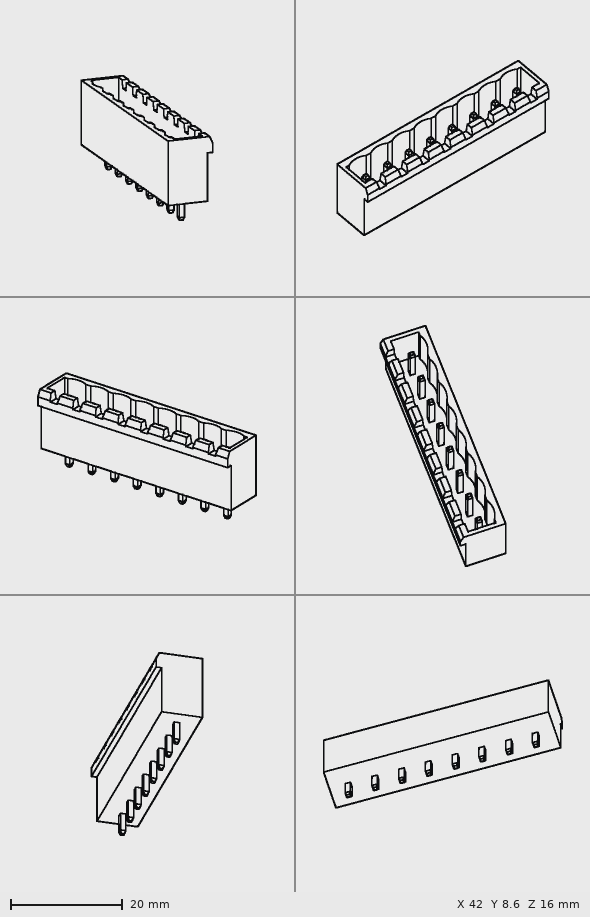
import cadquery as cq

length = 42.0
body_depth = 7.6
total_depth = 8.6
height = 12.0
total_height = 16.0

lip_height = 3.02
lip_chamfer_depth = 0.6
lip_chamfer_height = 1.25

pin_count = 8
pitch = 5.0
pin_y = 3.85
pin_width = 1.0
pin_tip_width = 0.6
pin_tip_length = 0.6
pin_bottom = height - total_height
pin_top = 10.0
pin_positions = [(i - (pin_count - 1) / 2) * pitch for i in range(pin_count)]

end_wall = 0.8
front_wall = 1.6
back_wall = 0.7
floor_thickness = 2.5
cavity_length = length - 2 * end_wall
cavity_back = body_depth - back_wall
cavity_height = height - floor_thickness

scallop_chord = 3.95
scallop_depth = 0.55

notch_top_width = 2.0
notch_floor_width = 1.45
notch_depth = 1.5


def make_housing():
    """Side profile with the latch lip, extruded along the row."""
    profile = [
        (0, 0),
        (body_depth, 0),
        (body_depth, height - lip_height),
        (total_depth, height - lip_height),
        (total_depth, height - lip_chamfer_height),
        (total_depth - lip_chamfer_depth, height),
        (0, height),
    ]
    return cq.Workplane("YZ").polyline(profile).close().extrude(length / 2, both=True)


def make_cavity():
    """Cavity whose front edge bulges forward in an arc at every contact."""
    half = cavity_length / 2
    outline = cq.Workplane("XY", origin=(0, 0, floor_thickness))
    outline = outline.moveTo(-half, cavity_back).lineTo(-half, front_wall)
    for x in pin_positions:
        outline = outline.lineTo(x - scallop_chord / 2, front_wall)
        outline = outline.threePointArc(
            (x, front_wall - scallop_depth),
            (x + scallop_chord / 2, front_wall),
        )
    outline = outline.lineTo(half, front_wall).lineTo(half, cavity_back).close()
    return outline.extrude(cavity_height)


def make_notch(x):
    """Notch that narrows toward its floor, running from the cavity out through the lip."""
    profile = [
        (x - notch_top_width / 2, height),
        (x - notch_floor_width / 2, height - notch_depth),
        (x + notch_floor_width / 2, height - notch_depth),
        (x + notch_top_width / 2, height),
    ]
    plane = cq.Workplane("XZ", origin=(0, total_depth, 0))
    return plane.polyline(profile).close().extrude(total_depth - cavity_back)


def make_pin_tip(x, z_base, z_end):
    """Square frustum from the full pin section to the blunt end."""
    return (
        cq.Workplane("XY", origin=(x, pin_y, z_base))
        .rect(pin_width, pin_width)
        .workplane(offset=z_end - z_base)
        .rect(pin_tip_width, pin_tip_width)
        .loft()
    )


def make_pin(x):
    """Square contact pin tapered at both ends."""
    shank_bottom = pin_bottom + pin_tip_length
    shank_top = pin_top - pin_tip_length
    shank = (
        cq.Workplane("XY", origin=(x, pin_y, shank_bottom))
        .rect(pin_width, pin_width)
        .extrude(shank_top - shank_bottom)
    )
    lower_tip = make_pin_tip(x, shank_bottom, pin_bottom)
    upper_tip = make_pin_tip(x, shank_top, pin_top)
    return shank.union(lower_tip).union(upper_tip)


result = make_housing().cut(make_cavity())
for pin_x in pin_positions:
    result = result.cut(make_notch(pin_x))
    result = result.union(make_pin(pin_x))